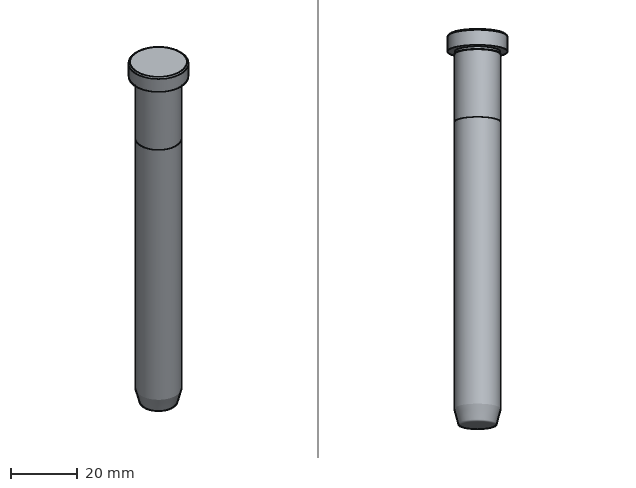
import cadquery as cq
import math

total_length = 120.0
head_radius = 9.0
head_height = 5.0
head_chamfer = 0.5
shank_diameter = 14.0

groove_depth = 0.2
groove_height = 1.0
groove_flare = 0.2

tip_height = 5.0
tip_angle = 15.0
tip_fillet = 0.6

joint_depth = 26.8

shank_radius = shank_diameter / 2
joint_z = total_length - joint_depth
head_bottom_z = total_length - head_height
groove_bottom_z = head_bottom_z - groove_height
groove_radius = shank_radius - groove_depth
tip_radius = shank_radius - tip_height * math.tan(math.radians(tip_angle))


def revolve_profile(points):
    """Turn a closed outline of (radius, height) points about the Z axis."""
    return cq.Workplane("XZ").polyline(points).close().revolve(360, (0, 0), (0, 1))


def make_headed_section():
    """Upper body: chamfered head, relief groove and the shank down to the joint."""
    section = revolve_profile([
        (0, joint_z),
        (shank_radius, joint_z),
        (shank_radius, groove_bottom_z),
        (groove_radius, groove_bottom_z + groove_flare),
        (groove_radius, head_bottom_z),
        (head_radius, head_bottom_z),
        (head_radius, total_length),
        (0, total_length),
    ])
    return section.faces(">Z").edges().chamfer(head_chamfer)


def make_guide_section():
    """Lower body: the plain shank below the joint, ending in a tapered, rounded tip."""
    section = revolve_profile([
        (0, 0),
        (tip_radius, 0),
        (shank_radius, tip_height),
        (shank_radius, joint_z),
        (0, joint_z),
    ])
    return section.faces("<Z").edges().fillet(tip_fillet)


headed_section = make_headed_section()
guide_section = make_guide_section()

result = cq.Compound.makeCompound([headed_section.val(), guide_section.val()])